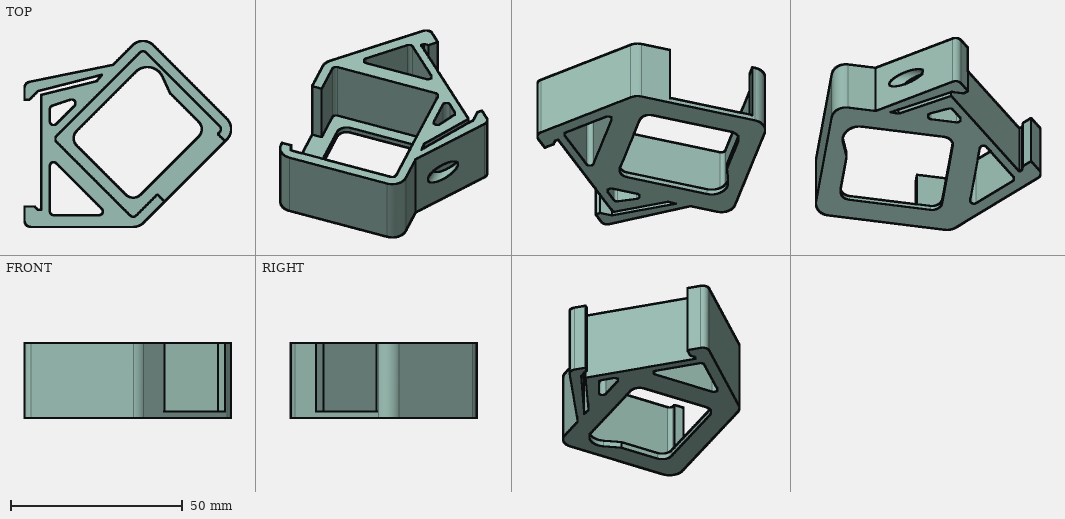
import cadquery as cq
import math

BOX_ANGLE = 45
ROOT2 = math.sqrt(2)

HEIGHT = 22.0
FLOOR = 2.0
WALL = 3.0

POCKET_ALONG_MIN = 24.2
POCKET_ALONG_MAX = 61.1
POCKET_ACROSS_MIN = -20.7
POCKET_ACROSS_MAX = 12.15
POCKET_RADIUS = 1.2
BOX_RADIUS = POCKET_RADIUS + WALL

GAP_START = 34.2
GAP_END = 59.15

OPENING_INSET = 3.45
OPENING_UPPER_INSET = 3.15
OPENING_RADIUS = 3.0
LOBE_RADIUS = 4.85
LOBE_OVERHANG = 2.1
LOBE_RAMP_LENGTH = 7.05

CLIP_FACE_X = 4.95
LOWER_JAW_Y = 6.05
LOWER_JAW_TIP = 2.95
RELIEF_X = 4.0
RELIEF_DEPTH = 0.95
ARM_JAW_Y = 37.1
ARM_JAW_TIP = 1.45
ARM_END_Y = 42.1
ARM_ROOT_X = 25.9
JAW_RADIUS = 2.0
SLOT_MOUTH_Y = ARM_JAW_Y + RELIEF_X - ARM_JAW_TIP
SLOT_TIP = (22.65, 44.4)
SLOT_FLOOR_END = (21.1, 42.6)
SLOT_FLOOR_START = (CLIP_FACE_X, 38.6)

WINDOW_X = CLIP_FACE_X + 2.55
WINDOW_RADIUS = 1.1
LOWER_WINDOW_Y = 3.5
LOWER_WEB = 4.45
UPPER_WEB = 2.55
UPPER_WINDOW_Y = 35.15
UPPER_WINDOW_SLOPE = 1 / 3

HOLE_DIAMETER = 6.0
HOLE_X = 16.3


def box_to_part(along, across):
    """Convert a point in the box axes to X, Y."""
    return ((along - across) / ROOT2, (along + across) / ROOT2)


def prism(points, height=HEIGHT):
    return cq.Workplane("XY").polyline(points).close().extrude(height)


def box_block(along_min, along_max, across_min, across_max, base, height):
    """Block square to the box axes, standing on Z = base."""
    block = cq.Workplane("XY").box(
        along_max - along_min, across_max - across_min, height, centered=False
    )
    block = block.translate((along_min, across_min, base))
    return block.rotate((0, 0, 0), (0, 0, 1), BOX_ANGLE)


def round_upright_edge(body, point, radius):
    """Fillet the vertical edge that passes through an X, Y point."""
    edge = cq.selectors.NearestToPointSelector((*point, HEIGHT / 2))
    return body.edges("|Z").edges(edge).fillet(radius)


def make_body():
    outer_end = POCKET_ALONG_MAX + WALL
    outer_low = POCKET_ACROSS_MIN - WALL
    outer_high = POCKET_ACROSS_MAX + WALL
    arm_root = (ARM_ROOT_X, ARM_ROOT_X + outer_high * ROOT2)
    top_corner = box_to_part(outer_end, outer_high)
    right_corner = box_to_part(outer_end, outer_low)
    bottom_corner = (-outer_low * ROOT2, 0)
    arm_corner = (0, ARM_END_Y)
    body = prism([
        (0, 0),
        bottom_corner,
        right_corner,
        top_corner,
        arm_root,
        arm_corner,
        (0, ARM_JAW_Y),
        (ARM_JAW_TIP, ARM_JAW_Y),
        (RELIEF_X, SLOT_MOUTH_Y),
        SLOT_TIP,
        SLOT_FLOOR_END,
        SLOT_FLOOR_START,
        (CLIP_FACE_X, LOWER_JAW_Y - RELIEF_DEPTH),
        (RELIEF_X, LOWER_JAW_Y - RELIEF_DEPTH),
        (LOWER_JAW_TIP, LOWER_JAW_Y),
        (0, LOWER_JAW_Y),
    ])
    for corner in (top_corner, right_corner, bottom_corner):
        body = round_upright_edge(body, corner, BOX_RADIUS)
    for corner in ((0, 0), arm_corner):
        body = round_upright_edge(body, corner, JAW_RADIUS)
    return body


def make_pocket():
    pocket = box_block(
        POCKET_ALONG_MIN, POCKET_ALONG_MAX, POCKET_ACROSS_MIN, POCKET_ACROSS_MAX, FLOOR, HEIGHT
    ).edges("|Z").fillet(POCKET_RADIUS)
    middle = (POCKET_ACROSS_MIN + POCKET_ACROSS_MAX) / 2
    gap = box_block(
        GAP_START, GAP_END, POCKET_ACROSS_MIN - 2 * WALL, middle, FLOOR, HEIGHT
    )
    return pocket.union(gap)


def make_floor_opening():
    start = POCKET_ALONG_MIN + OPENING_INSET
    end = POCKET_ALONG_MAX - OPENING_INSET
    low = POCKET_ACROSS_MIN + OPENING_INSET
    high = POCKET_ACROSS_MAX - OPENING_UPPER_INSET
    lobe_along = end + LOBE_OVERHANG - LOBE_RADIUS
    lobe_across = high - LOBE_RADIUS

    rise = end - lobe_along
    ramp_angle = math.acos(LOBE_RADIUS / LOBE_RAMP_LENGTH)
    ramp_end_across = lobe_across - math.sqrt(LOBE_RAMP_LENGTH**2 - rise**2)
    tangent_angle = math.atan2(ramp_end_across - lobe_across, rise) + ramp_angle

    def on_lobe(angle):
        return (
            lobe_along + LOBE_RADIUS * math.cos(angle),
            lobe_across + LOBE_RADIUS * math.sin(angle),
        )

    opening = (
        cq.Workplane("XY")
        .moveTo(start, low)
        .lineTo(end, low)
        .lineTo(end, ramp_end_across)
        .lineTo(*on_lobe(tangent_angle))
        .threePointArc(on_lobe((tangent_angle + math.pi / 2) / 2), (lobe_along, high))
        .lineTo(start, high)
        .close()
        .extrude(HEIGHT)
        .rotate((0, 0, 0), (0, 0, 1), BOX_ANGLE)
    )
    for corner in ((start, low), (end, low), (start, high)):
        opening = round_upright_edge(opening, box_to_part(*corner), OPENING_RADIUS)
    return opening


def make_windows():
    lower_sum = (POCKET_ALONG_MIN - LOWER_WEB) * ROOT2
    lower = prism([
        (WINDOW_X, LOWER_WINDOW_Y),
        (lower_sum - LOWER_WINDOW_Y, LOWER_WINDOW_Y),
        (WINDOW_X, lower_sum - WINDOW_X),
    ])
    upper_offset = (POCKET_ACROSS_MAX + UPPER_WEB) * ROOT2
    corner_height = UPPER_WINDOW_Y - WINDOW_X - upper_offset
    tip_x = WINDOW_X + corner_height / (1 - UPPER_WINDOW_SLOPE)
    upper = prism([
        (WINDOW_X, WINDOW_X + upper_offset),
        (tip_x, tip_x + upper_offset),
        (WINDOW_X, UPPER_WINDOW_Y),
    ])
    return lower.union(upper).edges("|Z").fillet(WINDOW_RADIUS)


def make_arm_hole():
    """Hole parallel to the box's upper left wall, kept to the arm thickness."""
    root_y = ARM_ROOT_X + (POCKET_ACROSS_MAX + WALL) * ROOT2
    hole_y = ARM_END_Y + HOLE_X * (root_y - ARM_END_Y) / ARM_ROOT_X
    reach = 3 * HOLE_DIAMETER
    direction = cq.Vector(1, 1, 0).normalized()
    start = cq.Vector(HOLE_X, hole_y, HEIGHT / 2) - direction * reach
    drill = cq.Solid.makeCylinder(HOLE_DIAMETER / 2, 2 * reach, start, direction)
    arm_zone = prism([
        (RELIEF_X, SLOT_MOUTH_Y),
        SLOT_TIP,
        (ARM_ROOT_X, root_y),
        (0, ARM_END_Y),
    ])
    return arm_zone.intersect(cq.Workplane(drill))


result = (
    make_body()
    .cut(make_pocket())
    .cut(make_floor_opening())
    .cut(make_windows())
    .cut(make_arm_hole())
)